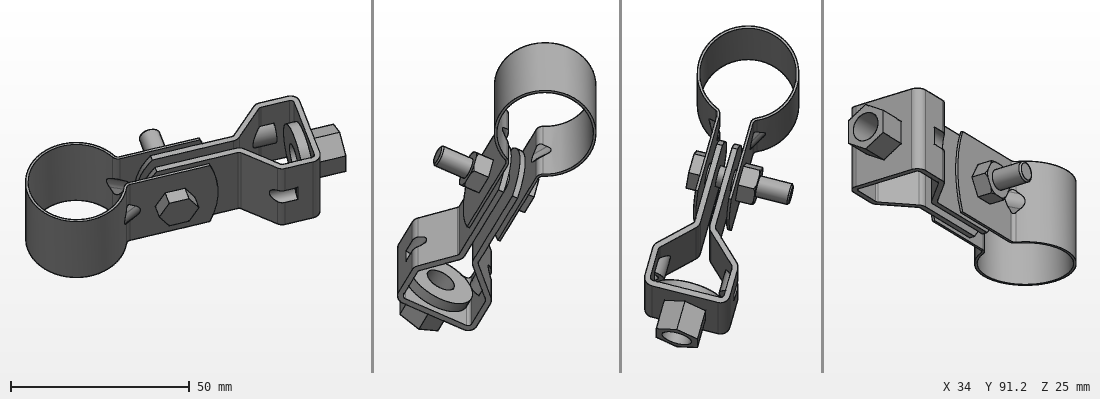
import cadquery as cq
import math

height = 25.0
length = 91.2
overrun = 18.25
margin = 0.5

band_thickness = 0.75
ring_radius = 14.2
tail_outer_x = 5.2
tail_end_y = 39.9
tail_end_radius = 34.1
neck_inside_radius = 2.1

dimple_radius = 8.5 / 2
dimple_start_y = 17.15
dimple_angle = 28.6
dimple_flank_slope = 33.0
dimple_lead = 2.9
dimple_length = 11.9
dimple_depth = 3.65

bracket_thickness = 1.6
bracket_outer_radius = 2.7
bracket_inner_radius = bracket_outer_radius - bracket_thickness
box_half_width = 12.3
leg_outer_x = 3.0
bend_y = 56.1
leg_start_y = bend_y - (box_half_width - leg_outer_x)
leg_end_y = 18.0
leg_end_radius = 19.2

tab_outer_radius = 4.4
tab_inner_radius = 2.65
tab_top_y = 61.0
tab_length = 9.1

hub_top_y = length - ring_radius
hub_hex_length = 8.8
hub_hex_flats = 11.95
hub_disc_diameter = 20.0
hub_disc_thickness = 3.0
hub_bore_diameter = 8.5
box_top_y = hub_top_y - hub_hex_length
box_inside_y = box_top_y - bracket_thickness
hub_disc_y = box_inside_y - hub_disc_thickness

bolt_y = 27.3
bolt_diameter = 6.0
bolt_tip_diameter = 4.9
bolt_tip_chamfer = 0.5
total_width = 34.0
bolt_tip_x = ring_radius - total_width
head_thickness = 3.9
hex_flats = 10.0
nut_thickness = 5.0
nut_face_diameter = 10.5
nut_chamfer = 0.5

hex_sides = 6
hex_corner_ratio = 1 / math.cos(math.pi / hex_sides)
hex_corners = hex_flats * hex_corner_ratio
hub_hex_corners = hub_hex_flats * hex_corner_ratio


def cylinder_x(diameter, x_start, x_end):
    """Cylinder on the bolt axis."""
    plane = cq.Plane(origin=(x_start, bolt_y, 0), xDir=(0, 1, 0), normal=(1, 0, 0))
    return cq.Workplane(plane).circle(diameter / 2).extrude(x_end - x_start)


def hexagon_x(x_start, x_end):
    """Hexagonal prism on the bolt axis, with corners pointing along Y."""
    plane = cq.Plane(origin=(x_start, bolt_y, 0), xDir=(0, 1, 0), normal=(1, 0, 0))
    return cq.Workplane(plane).polygon(hex_sides, hex_corners).extrude(x_end - x_start)


def prism_y(diameter, y_start, y_end, sides=0):
    """Round (sides=0) or polygonal prism along Y, polygon corners pointing along Z."""
    plane = cq.Plane(origin=(0, y_start, 0), xDir=(0, 0, 1), normal=(0, 1, 0))
    base = cq.Workplane(plane)
    outline = base.polygon(sides, diameter) if sides else base.circle(diameter / 2)
    return outline.extrude(y_end - y_start)


def slab(half_width, y_start, y_end):
    """Full-height block centred on X = 0."""
    return (
        cq.Workplane("XY")
        .box(2 * half_width, y_end - y_start, height)
        .translate((0, (y_start + y_end) / 2, 0))
    )


def round_end_keeper(end_y, radius, far_y):
    """Block that keeps what lies between far_y and an arc-shaped end whose tip is at end_y."""
    side = math.copysign(1, end_y - far_y)
    corner_y = end_y - side * (radius - math.sqrt(radius**2 - (height / 2) ** 2))
    return (
        cq.Workplane("YZ")
        .moveTo(far_y, -height / 2)
        .lineTo(corner_y, -height / 2)
        .threePointArc((end_y, 0), (corner_y, height / 2))
        .lineTo(far_y, height / 2)
        .close()
        .extrude(2 * ring_radius, both=True)
    )


def ring_with_neck(radius, neck_half_width, fillet):
    """Solid disc with a straight neck, blended where they meet."""
    disc = cq.Workplane("XY").circle(radius).extrude(height / 2, both=True)
    shape = disc.union(slab(neck_half_width, 0, tail_end_y + overrun))
    meet_y = math.sqrt(radius**2 - neck_half_width**2)
    meeting_edges = cq.selectors.BoxSelector(
        (-neck_half_width - margin, meet_y - margin, -height),
        (neck_half_width + margin, meet_y + margin, height),
    )
    return shape.edges("|Z").edges(meeting_edges).fillet(fillet)


def dimple_bar(radius, side):
    """Bar under the dimple crest: an arc of the given radius with tangent sloping flanks."""
    lean = math.radians(dimple_angle)
    slope = math.radians(dimple_flank_slope)
    along = cq.Vector(side * math.sin(lean), -math.cos(lean), 0)
    inwards = cq.Vector(-side * math.cos(lean), -math.sin(lean), 0)
    crest_start = cq.Vector(side * tail_outer_x, dimple_start_y, 0)
    arc_centre = crest_start + inwards * dimple_radius - along * dimple_lead
    plane = cq.Plane(origin=arc_centre.toTuple(), xDir=inwards.toTuple(), normal=along.toTuple())
    tangent_depth = -radius * math.cos(slope)
    tangent_half_width = radius * math.sin(slope)
    base_depth = dimple_depth - dimple_radius
    base_half_width = tangent_half_width + (base_depth - tangent_depth) / math.tan(slope)
    return (
        cq.Workplane(plane)
        .moveTo(base_depth, -base_half_width)
        .lineTo(tangent_depth, -tangent_half_width)
        .threePointArc((-radius, 0), (tangent_depth, tangent_half_width))
        .lineTo(base_depth, base_half_width)
        .close()
        .extrude(dimple_length)
    )


def make_clamp_band():
    outside = ring_with_neck(ring_radius, tail_outer_x, neck_inside_radius - band_thickness)
    inside = ring_with_neck(
        ring_radius - band_thickness, tail_outer_x - band_thickness, neck_inside_radius
    )
    for side in (-1, 1):
        outside = outside.union(dimple_bar(dimple_radius, side))
        inside = inside.union(dimple_bar(dimple_radius - band_thickness, side))
    band = outside.cut(inside)
    band = band.intersect(round_end_keeper(tail_end_y, tail_end_radius, -ring_radius - overrun))
    return band.cut(cylinder_x(bolt_diameter, -ring_radius, ring_radius))


def bracket_outside():
    """Solid bounded by the outer face of the folded strip, with its bends rounded."""
    half_outline = [
        (leg_outer_x, leg_end_y - overrun),
        (leg_outer_x, leg_start_y),
        (box_half_width, bend_y),
        (box_half_width, box_top_y),
    ]
    mirrored = [(-x, y) for x, y in reversed(half_outline)]
    solid = cq.Workplane("XY").polyline(half_outline + mirrored).close().extrude(height / 2, both=True)
    reach_x = box_half_width + margin
    leg_bends = cq.selectors.BoxSelector(
        (-reach_x, leg_start_y - margin, -height), (reach_x, leg_start_y + margin, height)
    )
    box_corners = cq.selectors.BoxSelector(
        (-reach_x, bend_y - margin, -height), (reach_x, box_top_y + margin, height)
    )
    solid = solid.edges("|Z").edges(box_corners).fillet(bracket_outer_radius)
    return solid.edges("|Z").edges(leg_bends).fillet(bracket_inner_radius)


def hub_outside():
    """Hub before boring: the hexagon runs through the bracket to the disc."""
    hexagon = prism_y(hub_hex_corners, box_inside_y, hub_top_y, hex_sides)
    return hexagon.union(prism_y(hub_disc_diameter, hub_disc_y, box_inside_y))


def make_bracket():
    outside = bracket_outside()
    inside = (
        outside.faces(">Z").wires().toPending().workplane()
        .offset2D(-bracket_thickness).extrude(-height, combine=False)
    )
    strip = outside.cut(inside)
    tab_bottom_y = tab_top_y - tab_length
    for side in (-1, 1):
        wall_face = (side * box_half_width, 0, 0)
        tab = prism_y(2 * tab_outer_radius, tab_bottom_y, tab_top_y).translate(wall_face)
        groove = prism_y(2 * tab_inner_radius, tab_bottom_y, tab_top_y).translate(wall_face)
        strip = strip.union(tab.intersect(outside)).cut(groove)
    strip = strip.intersect(round_end_keeper(leg_end_y, leg_end_radius, box_top_y + overrun))
    strip = strip.cut(hub_outside())
    return strip.cut(cylinder_x(bolt_diameter, -box_half_width, box_half_width))


def make_hub():
    return hub_outside().cut(prism_y(hub_bore_diameter, hub_disc_y, hub_top_y))


def make_bolt():
    shank = cylinder_x(bolt_diameter, bolt_tip_x, tail_outer_x)
    tip_inset = (bolt_diameter - bolt_tip_diameter) / 2
    shank = shank.faces("<X").chamfer(bolt_tip_chamfer, tip_inset)
    return shank.union(hexagon_x(tail_outer_x, tail_outer_x + head_thickness))


def make_nut():
    nut_outer_x = -tail_outer_x - nut_thickness
    rounding = cylinder_x(hex_corners, nut_outer_x, -tail_outer_x)
    rounding = rounding.faces("<X").chamfer(nut_chamfer, (hex_corners - nut_face_diameter) / 2)
    nut = hexagon_x(nut_outer_x, -tail_outer_x).intersect(rounding)
    return nut.cut(cylinder_x(bolt_diameter, nut_outer_x, -tail_outer_x))


clamp_band = make_clamp_band()
bracket = make_bracket()
hub = make_hub()
bolt = make_bolt()
nut = make_nut()

result = cq.Compound.makeCompound(
    [clamp_band.val(), bracket.val(), hub.val(), bolt.val(), nut.val()]
)